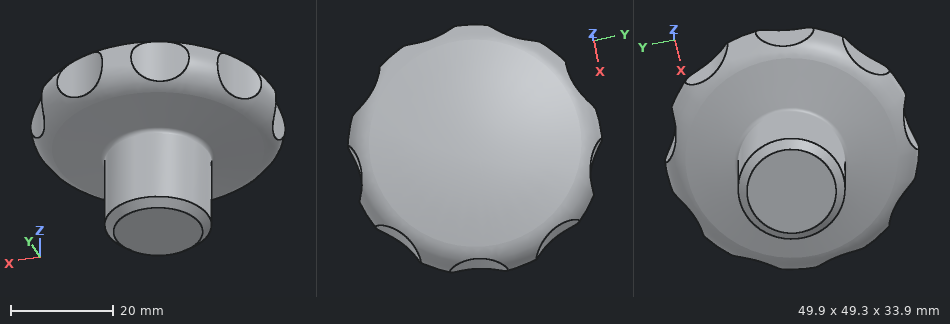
import cadquery as cq
import math

stem_radius = 10.5
stem_top = 16.25
end_chamfer_height = 1.5
end_chamfer_inset = 1.75
neck_fillet_radius = 1.0

head_radius = 25.0
rim_edge_radius = 20.8
rim_middle = 24.95
rim_half_height = 5.8
underside_inner_radius = 11.35
underside_inner_height = 17.15
total_height = 33.85

scallop_count = 9
scallop_radius = 12.0
scallop_floor = 22.9
first_scallop_angle = -90.0


def revolved_body():
    """Stem, neck, rounded rim and domed crown as one revolved profile."""
    rim_bottom = rim_middle - rim_half_height
    rim_top = rim_middle + rim_half_height

    crown_rise = total_height - rim_top
    crown_radius = (rim_edge_radius**2 + crown_rise**2) / (2 * crown_rise)
    crown_middle_radius = rim_edge_radius / 2
    crown_middle_height = (
        total_height - crown_radius + math.sqrt(crown_radius**2 - crown_middle_radius**2)
    )

    profile = (
        cq.Workplane("XZ")
        .lineTo(stem_radius - end_chamfer_inset, 0)
        .lineTo(stem_radius, end_chamfer_height)
        .lineTo(stem_radius, stem_top)
        .radiusArc((underside_inner_radius, underside_inner_height), neck_fillet_radius)
        .lineTo(rim_edge_radius, rim_bottom)
        .threePointArc((head_radius, rim_middle), (rim_edge_radius, rim_top))
        .threePointArc((crown_middle_radius, crown_middle_height), (0, total_height))
        .close()
    )
    return profile.revolve(360, (0, 0, 0), (0, 1, 0))


def scallop_cutters():
    """Upright cylinders evenly spaced around the rim."""
    return (
        cq.Workplane("XY")
        .polarArray(scallop_floor + scallop_radius, first_scallop_angle, 360, scallop_count)
        .circle(scallop_radius)
        .extrude(total_height)
    )


def scalloped(body):
    return body.cut(scallop_cutters())


result = scalloped(revolved_body())